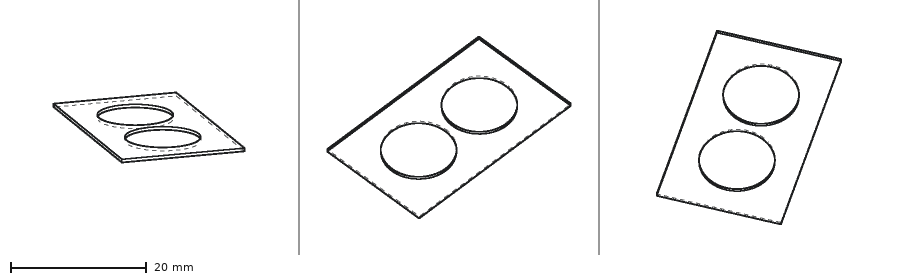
import cadquery as cq

length = 31.75
width = 19.05
thickness = 0.5

hole_diameter = 11.18
hole_spacing = 12.7

plate = cq.Workplane("XY").box(length, width, thickness)

result = (
    plate.faces(">Z")
    .workplane()
    .pushPoints([(-hole_spacing / 2, 0), (hole_spacing / 2, 0)])
    .hole(hole_diameter)
)